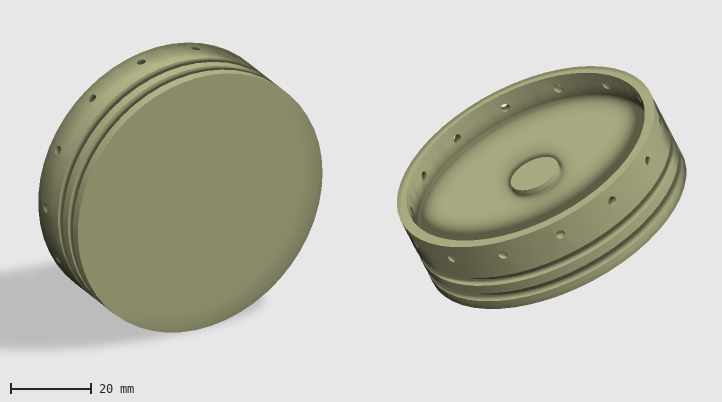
import cadquery as cq
import math

outer_diameter = 69.6
thickness = 20.05

skirt_length = thickness / 2
ring_width = skirt_length / 4
groove_diameter = 64.4
groove_count = 2

recess_diameter = 64.4
recess_depth = 7.5
recess_fillet = 0.7

boss_diameter = 12.8
boss_height = 2.0
boss_root_fillet = 0.5

hole_count = 14
hole_diameter = 2.3
hole_offset = 3.9


def disc(diameter, start, length):
    """Solid disc on the X axis, running in +X from start."""
    return cq.Workplane("YZ", origin=(start, 0, 0)).circle(diameter / 2).extrude(length)


def ring_groove(start):
    blank = disc(outer_diameter, start, ring_width)
    return blank.cut(disc(groove_diameter, start, ring_width))


def recess():
    return disc(recess_diameter, 0, recess_depth).faces(">X").edges().fillet(recess_fillet)


def boss():
    """Boss with a concave root fillet, standing towards the open face."""
    radius = boss_diameter / 2
    boss_face = recess_depth - boss_height
    fillet_start = recess_depth - boss_root_fillet
    arc_inset = boss_root_fillet * (1 - math.sqrt(0.5))
    return (
        cq.Workplane("XY")
        .moveTo(boss_face, 0)
        .lineTo(boss_face, radius)
        .lineTo(fillet_start, radius)
        .threePointArc(
            (recess_depth - arc_inset, radius + arc_inset),
            (recess_depth, radius + boss_root_fillet),
        )
        .lineTo(recess_depth, 0)
        .close()
        .revolve(360, (0, 0, 0), (1, 0, 0))
    )


def radial_hole(angle):
    """Hole from the axis outwards, turned about X from the -Y direction."""
    drill = (
        cq.Workplane("XZ", origin=(hole_offset, 0, 0))
        .circle(hole_diameter / 2)
        .extrude(outer_diameter)
    )
    return drill.rotate((0, 0, 0), (1, 0, 0), angle)


result = disc(outer_diameter, 0, thickness).cut(recess())

for index in range(groove_count):
    result = result.cut(ring_groove(skirt_length + 2 * index * ring_width))

for index in range(hole_count):
    result = result.cut(radial_hole(index * 360 / hole_count))

result = result.union(boss())